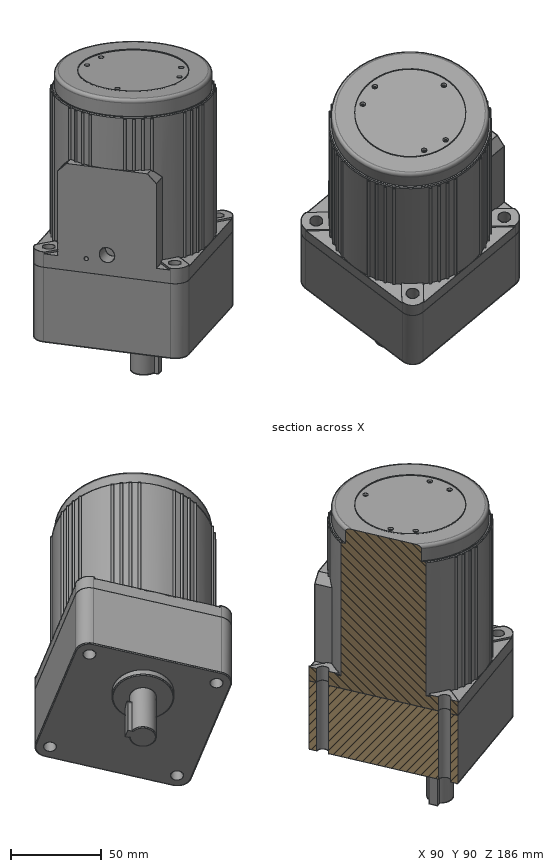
import cadquery as cq
import math

SIDE = 90.0
HALF_SIDE = SIDE / 2
CORNER_RADIUS = 8.0
BOLT_SPACING = 73.5
BOLT_HOLE_DIAMETER = 7.0

SHAFT_LENGTH = 32.0
BOSS_HEIGHT = 4.0
GEARBOX_BOTTOM = SHAFT_LENGTH + BOSS_HEIGHT
GEARBOX_TOP = 81.0
FLANGE_TOP = 89.0
PAD_TOP = 90.0
BARREL_TOP = 176.0
CAP_TOP = 186.0

SHAFT_OFFSET_Y = 18.0
SHAFT_RADIUS = 7.5
BOSS_RADIUS = 17.1
KEY_LENGTH = 25.0
KEY_WIDTH = 5.0
KEY_REACH = 9.5
EDGE_CHAMFER = 0.5

BARREL_RADIUS = 45.0
RIB_RADIUS = 0.84
RIB_TOP = BARREL_TOP - 1.0
RIB_PITCH = 360 / 56
RIB_STEPS = (2, 3, 4, 5)
BARREL_CHAMFER = 0.5
CAP_RADIUS = 43.5
CAP_FILLET = 2.0
DISC_RADIUS = 30.7
DISC_DEPTH = 0.5

SCREW_CIRCLE_RADIUS = 27.0
SCREW_ANGLES = (0, 30, 150, 180, 270)
SCREW_MOUTH_DIAMETER = 3.0
SCREW_HOLE_DIAMETER = 1.5
SCREW_HOLE_DEPTH = 1.9
SCREW_SINK_ANGLE = 90

PAD_WIDTH = 12.0

BOX_WIDTH = 57.7
BOX_TOP = 144.5
BOX_CHAMFER = 5.2
CABLE_HOLE_DIAMETER = 9.0
CABLE_HOLE_Z = 93.0
CABLE_HOLE_DEPTH = 10.0
EARTH_HOLE_DIAMETER = 2.5
EARTH_HOLE_X = -12.0
EARTH_HOLE_Z = 89.3
EARTH_HOLE_DEPTH = 5.0


def on_circle(radius, angle):
    """X and Y of the point at an angle in degrees on a circle about the barrel axis."""
    return radius * math.cos(math.radians(angle)), radius * math.sin(math.radians(angle))


def disc(radius, bottom, top, y=0):
    """Upright cylinder between two heights."""
    return cq.Workplane("XY", origin=(0, y, bottom)).circle(radius).extrude(top - bottom)


def square_block(bottom, top):
    """Square block with round corners between two heights."""
    block = cq.Workplane("XY", origin=(0, 0, bottom)).rect(SIDE, SIDE).extrude(top - bottom)
    return block.edges("|Z").fillet(CORNER_RADIUS)


def bolt_holes(bottom, top):
    """Cutters for the four corner bolt holes."""
    corners = cq.Workplane("XY", origin=(0, 0, bottom)).rect(BOLT_SPACING, BOLT_SPACING, forConstruction=True)
    return corners.vertices().circle(BOLT_HOLE_DIAMETER / 2).extrude(top - bottom)


def make_key():
    """Key along the +X side of the shaft, with a round upper end."""
    round_radius = KEY_WIDTH / 2
    straight = KEY_LENGTH - round_radius
    return (
        cq.Workplane("YZ", origin=(0, SHAFT_OFFSET_Y, 0))
        .moveTo(-round_radius, 0)
        .lineTo(round_radius, 0)
        .lineTo(round_radius, straight)
        .threePointArc((0, KEY_LENGTH), (-round_radius, straight))
        .close()
        .extrude(KEY_REACH)
    )


def make_gearbox():
    """Gearbox block with its boss, output shaft and key."""
    block = square_block(GEARBOX_BOTTOM, GEARBOX_TOP).faces("<Z").chamfer(EDGE_CHAMFER)
    boss = disc(BOSS_RADIUS, SHAFT_LENGTH, GEARBOX_BOTTOM, SHAFT_OFFSET_Y).faces("<Z").chamfer(EDGE_CHAMFER)
    shaft = disc(SHAFT_RADIUS, 0, SHAFT_LENGTH, SHAFT_OFFSET_Y).faces("<Z").chamfer(EDGE_CHAMFER)
    body = block.cut(bolt_holes(GEARBOX_BOTTOM, GEARBOX_TOP))
    return body.union(boss).union(shaft).union(make_key())


def make_flange():
    """Motor flange with a raised pad along the diagonal at each corner."""
    diagonal_length = 2 * SIDE
    pads = square_block(FLANGE_TOP, PAD_TOP)
    strips = cq.Workplane("XY", origin=(0, 0, FLANGE_TOP))
    strips = strips.rect(diagonal_length, PAD_WIDTH).extrude(PAD_TOP - FLANGE_TOP)
    strips = strips.union(strips.rotate((0, 0, 0), (0, 0, 1), 90)).rotate((0, 0, 0), (0, 0, 1), 45)
    flange = square_block(GEARBOX_TOP, FLANGE_TOP).union(pads.intersect(strips))
    return flange.cut(bolt_holes(GEARBOX_TOP, PAD_TOP))


def make_rib(angle):
    """Round rib centred on the barrel surface, which leaves a half-round ridge."""
    x, y = on_circle(BARREL_RADIUS, angle)
    return cq.Workplane("XY", origin=(x, y, FLANGE_TOP)).circle(RIB_RADIUS).extrude(RIB_TOP - FLANGE_TOP)


def make_barrel():
    """Round barrel with four vertical ribs to each side of each of its four side directions."""
    barrel = disc(BARREL_RADIUS, GEARBOX_TOP, BARREL_TOP).faces(">Z").chamfer(BARREL_CHAMFER)
    for side_angle in (0, 90, 180, 270):
        for step in RIB_STEPS:
            for sign in (-1, 1):
                barrel = barrel.union(make_rib(side_angle + sign * step * RIB_PITCH))
    return barrel


def make_cap():
    """End cap with a sunken disc and countersunk screw holes."""
    cap = disc(CAP_RADIUS, BARREL_TOP, CAP_TOP).faces(">Z").edges().fillet(CAP_FILLET)
    disc_top = CAP_TOP - DISC_DEPTH
    cap = cap.cut(disc(DISC_RADIUS, disc_top, CAP_TOP))
    points = [on_circle(SCREW_CIRCLE_RADIUS, angle) for angle in SCREW_ANGLES]
    disc_floor = cq.Workplane("XY", origin=(0, 0, disc_top)).add(cap).pushPoints(points)
    return disc_floor.cskHole(SCREW_HOLE_DIAMETER, SCREW_MOUTH_DIAMETER, SCREW_SINK_ANGLE, SCREW_HOLE_DEPTH)


def make_terminal_box():
    """Flat-fronted box with bevelled upper corners, reaching from the barrel axis to the -Y face."""
    box = (
        cq.Workplane("XY", origin=(0, -HALF_SIDE / 2, GEARBOX_TOP))
        .rect(BOX_WIDTH, HALF_SIDE)
        .extrude(BOX_TOP - GEARBOX_TOP)
    )
    return box.faces(">Z").edges("|Y").chamfer(BOX_CHAMFER)


def front_hole(diameter, x, z, depth):
    """Cutter for a blind hole in the front of the terminal box."""
    return cq.Workplane("XZ", origin=(x, -HALF_SIDE, z)).circle(diameter / 2).extrude(-depth)


def make_motor():
    """Motor: flange, ribbed barrel, end cap and terminal box."""
    motor = make_flange().union(make_barrel()).union(make_cap()).union(make_terminal_box())
    motor = motor.cut(front_hole(CABLE_HOLE_DIAMETER, 0, CABLE_HOLE_Z, CABLE_HOLE_DEPTH))
    return motor.cut(front_hole(EARTH_HOLE_DIAMETER, EARTH_HOLE_X, EARTH_HOLE_Z, EARTH_HOLE_DEPTH))


gearbox = make_gearbox()
motor = make_motor()
result = cq.Compound.makeCompound([gearbox.val(), motor.val()])